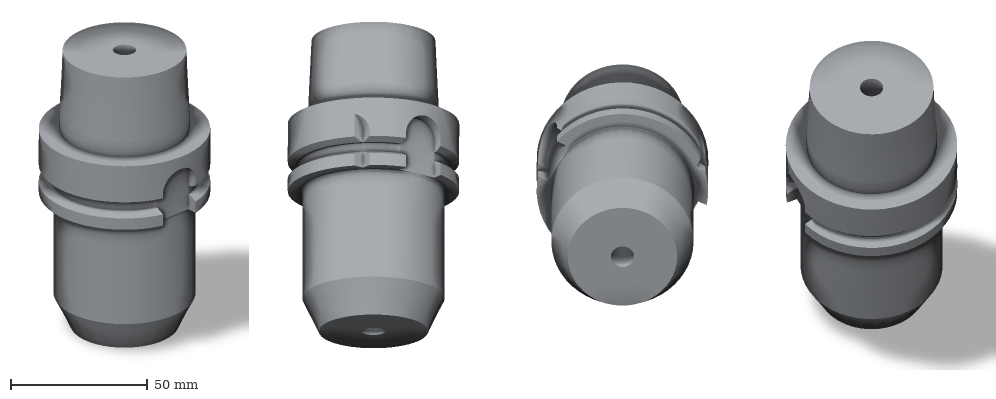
import cadquery as cq

total_height = 112.0
nose_height = 12.7
collar_base_z = 53.1
flange_base_z = 54.0
flange_top_z = 80.0
groove_bottom_z = 60.0
groove_top_z = 63.7
groove_chamfer_height = 1.5
taper_base_z = 86.1

nose_radius = 20.0
body_radius = 26.1
collar_radius = 26.4
flange_radius = 31.5
groove_radius = 27.5
groove_chamfer_width = 2.7
groove_edge_radius = flange_radius - groove_chamfer_width
shank_radius = 24.0
shank_top_radius = 22.7
bore_radius = 4.3

keyway_radius = 8.0
keyway_arc_z = 67.1
keyway_floor_x = 26.4
notch_floor_x = 20.3
notch_wall_y = 20.0
notch_center_y = notch_wall_y + keyway_radius


def turned_body():
    """Revolve the outer profile about Z."""
    profile = [
        (0, 0),
        (nose_radius, 0),
        (body_radius, nose_height),
        (body_radius, collar_base_z),
        (collar_radius, flange_base_z),
        (flange_radius, flange_base_z),
        (flange_radius, groove_bottom_z - groove_chamfer_height),
        (groove_edge_radius, groove_bottom_z),
        (groove_radius, groove_bottom_z),
        (groove_radius, groove_top_z),
        (groove_edge_radius, groove_top_z),
        (flange_radius, groove_top_z + groove_chamfer_height),
        (flange_radius, flange_top_z),
        (shank_radius, flange_top_z),
        (shank_radius, taper_base_z),
        (shank_top_radius, total_height),
        (0, total_height),
    ]
    return cq.Workplane("XZ").polyline(profile).close().revolve(360, (0, 0), (0, 1))


def round_ended_slot(center_y, floor_x):
    """Cutter open below the flange, reaching from floor_x outward past the flange on the +X side."""
    return (
        cq.Workplane("YZ", origin=(floor_x, 0, 0))
        .moveTo(center_y - keyway_radius, flange_base_z)
        .lineTo(center_y - keyway_radius, keyway_arc_z)
        .threePointArc(
            (center_y, keyway_arc_z + keyway_radius),
            (center_y + keyway_radius, keyway_arc_z),
        )
        .lineTo(center_y + keyway_radius, flange_base_z)
        .close()
        .extrude(flange_radius)
    )


keyway = round_ended_slot(0, keyway_floor_x)
notch = round_ended_slot(notch_center_y, notch_floor_x).mirror("YZ")
bore = cq.Workplane("XY").circle(bore_radius).extrude(total_height)

result = turned_body().cut(bore).cut(keyway).cut(keyway.mirror("YZ")).cut(notch)